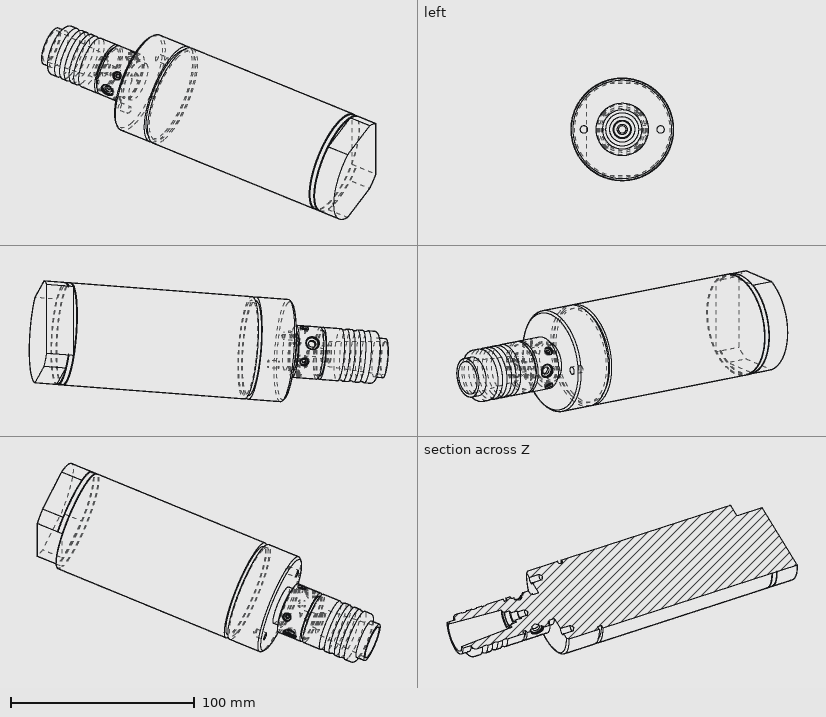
import cadquery as cq
import math

total_length = 191.7

nose_diameter = 21.5
sleeve_diameter = 28.5
sleeve_start = 4.8
sleeve_end = 50.2
sleeve_round = 2.1
grip_count = 3
first_grip_start = 10.2
grip_pitch = 6.0
grip_width = 3.0
grip_depth = 0.5
sleeve_groove_diameter = 25.0
sleeve_groove_start = 35.0
sleeve_groove_width = 1.5

collar_diameter = 23.0
collar_end = 51.2
neck_diameter = 21.5

body_diameter = 56.0
body_start = 54.5
body_end = 176.7
front_chamfer = 1.2
body_groove_diameter = 52.0
body_groove_start = 73.6
body_groove_width = 2.1
rear_chamfer = 0.4

flange_end = 179.6
side_flat_offset = 19.4
wrench_flat_offset = 25.1

mouth_diameter = 18.0
taper_diameter = 13.8
taper_depth = 30.7
rim_diameter = 10.0
rim_depth = 31.6
step_diameter = 9.0
step_depth = 34.5
pilot_diameter = 5.5
pilot_depth = 38.3
drill_diameter = 4.0
drill_depth = 42.2

pin_hole_diameter = 4.0
pin_hole_depth = 5.8
pin_hole_offset = 20.9

side_screw_station = 42.7
side_screw_angles = (0, 180)
side_screw_diameter = 7.5
side_screw_recess = 1.0
side_seat_diameter = 6.7
side_seat_recess = 1.5
side_socket_diameter = 4.0
side_socket_depth = 3.0
lock_screw_station = 46.5
lock_screw_angles = (45, 135, 225, 315)
lock_screw_diameter = 4.6
lock_screw_recess = 1.0
lock_seat_diameter = 4.0
lock_seat_recess = 1.5
lock_socket_diameter = 2.1
lock_socket_depth = 2.9
drill_point_angle = 118.0

cutter_overlap = 1.0


def cylinder(start, end, diameter):
    return cq.Workplane("YZ", origin=(start, 0, 0)).circle(diameter / 2).extrude(end - start)


def turned_groove(start, width, surface_diameter, floor_diameter):
    """The ring of material taken out of a cylinder to leave a square groove."""
    return (
        cq.Workplane("YZ", origin=(start, 0, 0))
        .circle(surface_diameter / 2 + cutter_overlap)
        .circle(floor_diameter / 2)
        .extrude(width)
    )


def blind_hole(origin, direction, diameter, depth):
    """A drilled hole with a pointed bottom, going from origin along direction."""
    radius = diameter / 2
    point_depth = radius / math.tan(math.radians(drill_point_angle) / 2)
    start = cq.Vector(*origin)
    axis = cq.Vector(*direction)
    barrel = cq.Solid.makeCylinder(radius, depth, start, axis)
    point = cq.Solid.makeCone(radius, 0, point_depth, start + axis * depth, axis)
    return cq.Workplane(barrel.fuse(point))


def make_sleeve():
    sleeve = cylinder(sleeve_start, sleeve_end, sleeve_diameter).faces("<X").edges().fillet(sleeve_round)
    sleeve_radius = sleeve_diameter / 2
    for index in range(grip_count):
        grip_start = first_grip_start + index * grip_pitch
        groove = (
            cq.Workplane("XY")
            .moveTo(grip_start, sleeve_radius)
            .threePointArc(
                (grip_start + grip_width / 2, sleeve_radius - grip_depth),
                (grip_start + grip_width, sleeve_radius),
            )
            .close()
            .revolve(360, (0, 0, 0), (1, 0, 0))
        )
        sleeve = sleeve.cut(groove)
    return sleeve.cut(
        turned_groove(sleeve_groove_start, sleeve_groove_width, sleeve_diameter, sleeve_groove_diameter)
    )


def make_body():
    body = cylinder(body_start, body_end, body_diameter)
    body = body.faces("<X").edges().chamfer(front_chamfer)
    body = body.faces(">X").edges().chamfer(rear_chamfer)
    return body.cut(
        turned_groove(body_groove_start, body_groove_width, body_diameter, body_groove_diameter)
    )


def make_end_cap():
    flange = cylinder(body_end, flange_end, body_diameter).faces(">X").edges().chamfer(rear_chamfer)
    cap = cylinder(flange_end, total_length, body_diameter)
    wrench_limit = cq.Workplane("XY").box(2 * total_length, body_diameter, 2 * wrench_flat_offset)
    side_limit = cq.Workplane("XY").box(2 * total_length, body_diameter, body_diameter)
    side_limit = side_limit.translate((0, side_flat_offset - body_diameter / 2, 0))
    return flange.union(cap.intersect(wrench_limit)).intersect(side_limit)


def make_bore():
    taper = cq.Workplane(
        cq.Solid.makeCone(mouth_diameter / 2, taper_diameter / 2, taper_depth, dir=cq.Vector(1, 0, 0))
    )
    rim = cylinder(0, rim_depth, rim_diameter)
    step = cylinder(0, step_depth, step_diameter)
    pilot = cylinder(0, pilot_depth, pilot_diameter)
    drill = blind_hole((0, 0, 0), (1, 0, 0), drill_diameter, drill_depth)
    return taper.union(rim).union(step).union(pilot).union(drill)


def radial_screw_hole(station, angle, steps):
    """A stepped hole sunk into the sleeve; steps are (diameter, depth) and the last is pointed."""
    direction = cq.Vector(0, math.cos(math.radians(angle)), math.sin(math.radians(angle)))
    surface = cq.Vector(station, 0, 0) + direction * (sleeve_diameter / 2)
    hole = blind_hole(surface.toTuple(), (-direction).toTuple(), *steps[-1])
    for diameter, depth in steps[:-1]:
        step = cq.Solid.makeCylinder(
            diameter / 2,
            depth + cutter_overlap,
            surface + direction * cutter_overlap,
            -direction,
        )
        hole = hole.union(cq.Workplane(step))
    return hole


result = (
    cylinder(0, sleeve_end, nose_diameter)
    .union(make_sleeve())
    .union(cylinder(sleeve_end, collar_end, collar_diameter))
    .union(cylinder(collar_end, body_start, neck_diameter))
    .union(make_body())
    .union(make_end_cap())
    .cut(make_bore())
)

for side in (-1, 1):
    result = result.cut(
        blind_hole((body_start, side * pin_hole_offset, 0), (1, 0, 0), pin_hole_diameter, pin_hole_depth)
    )

side_screw_steps = (
    (side_screw_diameter, side_screw_recess),
    (side_seat_diameter, side_seat_recess),
    (side_socket_diameter, side_socket_depth),
)
for angle in side_screw_angles:
    result = result.cut(radial_screw_hole(side_screw_station, angle, side_screw_steps))

lock_screw_steps = (
    (lock_screw_diameter, lock_screw_recess),
    (lock_seat_diameter, lock_seat_recess),
    (lock_socket_diameter, lock_socket_depth),
)
for angle in lock_screw_angles:
    result = result.cut(radial_screw_hole(lock_screw_station, angle, lock_screw_steps))